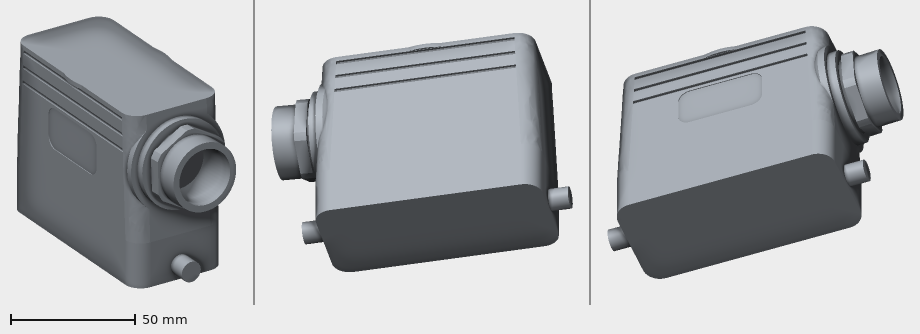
import cadquery as cq
import math

total_length = 120.7
hood_height = 76.0

base_length = 93.5
top_length = 87.8
hood_width = 43.2
corner_radius = 7.2
base_height = 20.0

pin_diameter = 9.0
pin_span = 109.9
pin_z = 6.4

groove_count = 3
groove_height = 1.6
groove_depth = 1.1
groove_pitch = 6.9
first_groove_drop = 2.0
ledge_length = 13.5
ledge_height = 1.9
ledge_bulge = 0.8

panel_length = 36.0
panel_height = 18.4
panel_radius = 4.8
panel_depth = 0.4
panel_z = 48.0

gland_z = 51.9
boss_diameter = 45.0
boss_rim = 2.9
boss_cone_length = 2.4
boss_cone_rise = 1.8
flange_diameter = 39.0
flange_end = 3.6
collar_diameter = 31.0
collar_end = 5.1
nut_flats = 32.0
nut_corner_diameter = 35.1
nut_end = 10.1
tube_diameter = 30.0
bore_diameter = 24.3

wall_inset = (base_length - top_length) / 2
taper_height = hood_height - base_height
wall_tilt = math.atan2(wall_inset, taper_height)


def wall_x(z):
    """Distance of the tapered end wall from the middle at height z."""
    return base_length / 2 - (z - base_height) * math.tan(wall_tilt)


gland_reach = total_length - pin_span / 2
tube_end = (
    gland_reach - wall_x(gland_z) - tube_diameter / 2 * math.sin(wall_tilt)
) / math.cos(wall_tilt)


def rounded_outline(length):
    return cq.Sketch().rect(length, hood_width).vertices().fillet(corner_radius)


def make_hood():
    base = cq.Workplane("XY").placeSketch(rounded_outline(base_length)).extrude(base_height)
    upper = (
        cq.Workplane("XY")
        .placeSketch(
            rounded_outline(base_length).moved(cq.Location(cq.Vector(0, 0, base_height))),
            rounded_outline(top_length).moved(cq.Location(cq.Vector(0, 0, hood_height))),
        )
        .loft(ruled=True)
    )
    return base.union(upper)


def make_pins():
    return (
        cq.Workplane("YZ", origin=(-pin_span / 2, 0, 0))
        .center(0, pin_z)
        .circle(pin_diameter / 2)
        .extrude(pin_span)
    )


def make_ledges():
    """Shallow arcs bulging from both long sides just below the top."""
    half_length = ledge_length / 2
    half_width = hood_width / 2
    return (
        cq.Workplane("XY", origin=(0, 0, hood_height - ledge_height))
        .moveTo(-half_length, -half_width)
        .threePointArc((0, -half_width - ledge_bulge), (half_length, -half_width))
        .lineTo(half_length, half_width)
        .threePointArc((0, half_width + ledge_bulge), (-half_length, half_width))
        .close()
        .extrude(ledge_height)
    )


def make_groove(top_z):
    """Groove pair across the flat of both long sides, ending where the corner rounds begin."""
    bottom_z = top_z - groove_height
    half_top = wall_x(top_z) - corner_radius
    half_bottom = wall_x(bottom_z) - corner_radius
    band = (
        cq.Workplane("XZ", origin=(0, hood_width / 2, 0))
        .polyline([
            (-half_bottom, bottom_z),
            (half_bottom, bottom_z),
            (half_top, top_z),
            (-half_top, top_z),
        ])
        .close()
        .extrude(hood_width)
    )
    core = cq.Workplane("XY").box(
        base_length, hood_width - 2 * groove_depth, 2 * hood_height
    )
    return band.cut(core)


def make_panel():
    return (
        cq.Workplane("XZ", origin=(0, -hood_width / 2 + panel_depth, panel_z))
        .rect(panel_length, panel_height)
        .extrude(panel_depth)
        .edges("|Y")
        .fillet(panel_radius)
    )


def gland_plane(distance=0):
    """Plane parallel to the tapered wall; its local x runs along Y."""
    outward = cq.Vector(math.cos(wall_tilt), 0, math.sin(wall_tilt))
    centre = cq.Vector(wall_x(gland_z), 0, gland_z) + outward * distance
    return cq.Workplane(cq.Plane(origin=centre, xDir=(0, 1, 0), normal=outward))


def make_boss():
    """Disc with a conical back that emerges through the hood's rounded corners."""
    rim_radius = boss_diameter / 2
    rim = gland_plane(-boss_rim).circle(rim_radius).extrude(boss_rim)
    cone = (
        gland_plane(-boss_rim - boss_cone_length)
        .circle(rim_radius - boss_cone_rise)
        .workplane(offset=boss_cone_length)
        .circle(rim_radius)
        .loft()
    )
    return rim.union(cone)


def make_nut():
    """Hexagon with two flats facing +Y and -Y and its corners turned round."""
    thickness = nut_end - collar_end
    hexagon = (
        gland_plane(collar_end)
        .polygon(6, nut_flats, circumscribed=True)
        .extrude(thickness)
    )
    turned = gland_plane(collar_end).circle(nut_corner_diameter / 2).extrude(thickness)
    return hexagon.intersect(turned)


def make_gland():
    flange = gland_plane().circle(flange_diameter / 2).extrude(flange_end)
    collar = gland_plane().circle(collar_diameter / 2).extrude(collar_end)
    tube = gland_plane().circle(tube_diameter / 2).extrude(tube_end)
    return make_boss().union(flange).union(collar).union(make_nut()).union(tube)


hood = make_hood().union(make_ledges())
for index in range(groove_count):
    hood = hood.cut(make_groove(hood_height - first_groove_drop - index * groove_pitch))
hood = hood.cut(make_panel())

gland_bore = gland_plane().circle(bore_diameter / 2).extrude(tube_end)
result = hood.union(make_pins()).union(make_gland()).cut(gland_bore)